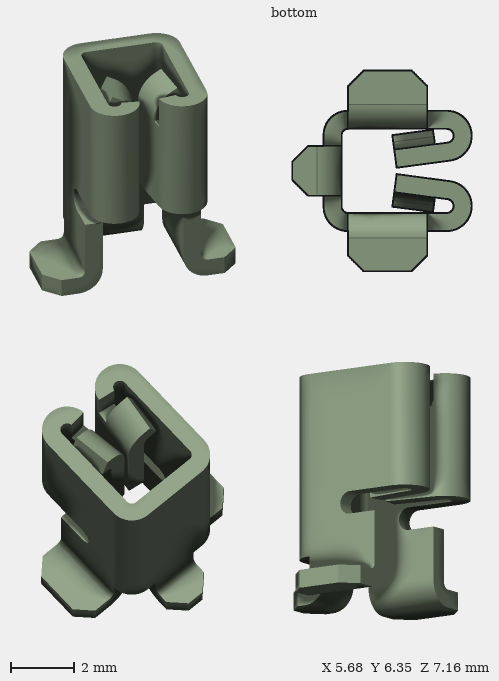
import cadquery as cq
import math

height = 7.16
thickness = 0.58
body_depth = 3.81
body_length = 4.69
half_depth = body_depth / 2
corner_inner = 0.19
corner_outer = corner_inner + thickness
curl_inner = 0.215
curl_outer = curl_inner + thickness

skirt_bottom = 1.28
slot_bottom = 2.485
slot_top = 3.21
slot_radius = (slot_top - slot_bottom) / 2
slot_end = 1.955
strip_end = 3.29

foot_chamfer = 0.5
foot_bend_inner = 0.21
foot_bend_outer = foot_bend_inner + thickness
side_foot_reach = 1.271
side_foot_width = strip_end - corner_outer
back_foot_reach = 0.99
back_foot_width = 1.575

tongue_tilt = math.radians(7.6)
neck_length = 0.4
flare_length = 1.3
neck_top = 6.13
flare_angle = math.radians(65)
flare_outer = 1.02
flare_inner = flare_outer - thickness
flare_flat = 0.235

curl_x = body_length - curl_outer
curl_y = half_depth - curl_outer


def curl_point(radius, angle):
    """Point on the +Y curl, with the angle measured from the X axis."""
    return (curl_x + radius * math.cos(angle), curl_y + radius * math.sin(angle))


def build_half_shell():
    """+Y half of the wrapped sheet, from the back wall to the end of the curl."""
    curl_end = tongue_tilt - math.pi / 2
    curl_middle = (curl_end + math.pi / 2) / 2
    diagonal = math.sqrt(0.5)
    corner_y = half_depth - corner_outer

    def corner_middle(radius):
        return (corner_outer - radius * diagonal, corner_y + radius * diagonal)

    outline = (
        cq.Workplane("XY")
        .moveTo(0, 0)
        .lineTo(0, corner_y)
        .threePointArc(corner_middle(corner_outer), (corner_outer, half_depth))
        .lineTo(curl_x, half_depth)
        .threePointArc(curl_point(curl_outer, curl_middle), curl_point(curl_outer, curl_end))
        .lineTo(*curl_point(curl_inner, curl_end))
        .threePointArc(curl_point(curl_inner, curl_middle), (curl_x, half_depth - thickness))
        .lineTo(corner_outer, half_depth - thickness)
        .threePointArc(corner_middle(corner_inner), (thickness, corner_y))
        .lineTo(thickness, 0)
        .close()
    )
    return outline.extrude(height - skirt_bottom).translate((0, 0, skirt_bottom))


def cut_side_opening(shell):
    """Cut the slot and clear everything below it beyond the foot strip."""
    slot = (
        cq.Workplane("XZ")
        .moveTo(body_length, slot_bottom)
        .lineTo(slot_end + slot_radius, slot_bottom)
        .threePointArc((slot_end, slot_bottom + slot_radius), (slot_end + slot_radius, slot_top))
        .lineTo(body_length, slot_top)
        .close()
        .extrude(-half_depth)
    )
    below = cq.Workplane("XY").box(
        body_length - strip_end, body_depth, slot_top, centered=(False, True, False)
    ).translate((strip_end, 0, 0))
    return shell.cut(slot).cut(below)


def build_tongue():
    """+Y tongue: a low neck beyond the curl, then a longer strip flared at the top."""
    start = curl_point(curl_outer, tongue_tilt - math.pi / 2)
    toward_wall = (-math.sin(tongue_tilt), math.cos(tongue_tilt), 0)
    toward_curl = (math.cos(tongue_tilt), math.sin(tongue_tilt), 0)
    section_plane = cq.Plane(origin=(*start, 0), xDir=toward_wall, normal=toward_curl)

    def flare_point(radius, angle, straight=0):
        return (
            flare_outer - radius * math.cos(angle) + straight * math.sin(angle),
            neck_top + radius * math.sin(angle) + straight * math.cos(angle),
        )

    neck = (
        cq.Workplane(section_plane)
        .moveTo(0, slot_top)
        .lineTo(thickness, slot_top)
        .lineTo(thickness, neck_top)
        .lineTo(0, neck_top)
        .close()
        .extrude(-neck_length)
    )
    flare = (
        cq.Workplane(section_plane)
        .workplane(offset=-neck_length)
        .moveTo(0, slot_top)
        .lineTo(0, neck_top)
        .threePointArc(flare_point(flare_outer, flare_angle / 2), flare_point(flare_outer, flare_angle))
        .lineTo(*flare_point(flare_outer, flare_angle, flare_flat))
        .lineTo(*flare_point(flare_inner, flare_angle, flare_flat))
        .lineTo(*flare_point(flare_inner, flare_angle))
        .threePointArc(flare_point(flare_inner, flare_angle / 2), (thickness, neck_top))
        .lineTo(thickness, slot_top)
        .close()
        .extrude(-flare_length)
    )
    return neck.union(flare)


def build_foot(width, reach):
    """Bent foot pointing to -X, centred on Y, with its wall face at X = 0."""
    return (
        cq.Workplane("XZ")
        .moveTo(-reach, 0)
        .lineTo(thickness, 0)
        .lineTo(thickness, skirt_bottom)
        .lineTo(0, skirt_bottom)
        .lineTo(0, thickness)
        .lineTo(-reach, thickness)
        .close()
        .extrude(width / 2, both=True)
        .edges(cq.selectors.NearestToPointSelector((thickness, 0, 0)))
        .fillet(foot_bend_outer)
        .edges(cq.selectors.NearestToPointSelector((0, 0, thickness)))
        .fillet(foot_bend_inner)
        .edges("|Z and <X")
        .chamfer(foot_chamfer)
    )


side_foot = (
    build_foot(side_foot_width, side_foot_reach)
    .rotate((0, 0, 0), (0, 0, 1), -90)
    .translate((corner_outer + side_foot_width / 2, half_depth, 0))
)
half = cut_side_opening(build_half_shell()).union(build_tongue()).union(side_foot)
back_foot = build_foot(back_foot_width, back_foot_reach)
result = half.union(half.mirror("XZ")).union(back_foot).clean()